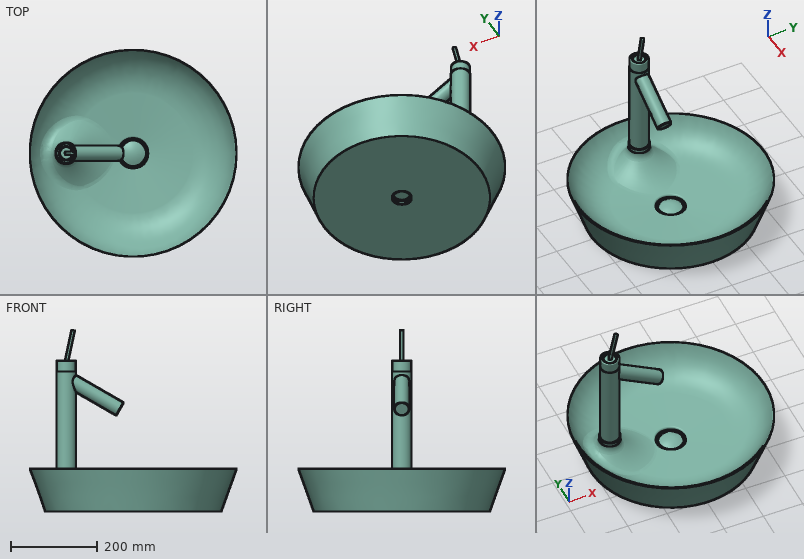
import cadquery as cq
import math

BOWL_HEIGHT = 100.0
RIM_RADIUS = 240.0
BASE_RADIUS = 204.5
RIM_WIDTH = 3.5
RIM_CROWN = 1.3
FLOOR_EDGE_RADIUS = 140.0
FLOOR_EDGE_Z = 32.3
FLOOR_SLOPE = 0.084

PAD_RADIUS = 25.0
PAD_TOP_Z = 85.0
PAD_NECK_RADIUS = 25.0
PAD_NECK_TURN = 50.0
PAD_FOOT = (130.0, 20.0)
PAD_BLEND_RADIUS = 20.0
PAD_BOTTOM_Z = 15.0

DRAIN_RADIUS = 35.0
DRAIN_LIP_RADIUS = 40.0
DRAIN_SEAT_Z = 10.0
DRAIN_TOP_Z = 18.0
DRAIN_EDGE_FILLET = 1.0
DRAIN_CUP_RADIUS = 31.0
DRAIN_CUP_Z = 14.0
TAIL_RADIUS = 23.0
TAIL_BORE_RADIUS = 21.0
STOPPER_RADIUS = 30.0
STOPPER_EDGE_Z = 17.5
STOPPER_TOP_Z = 25.5

FAUCET_X = -155.2
RING_RADIUS = 25.0
RING_HEIGHT = 11.0
RING_CHAMFER = 0.7
COLUMN_RADIUS = 23.0
COLUMN_TOP_Z = 325.0

SPOUT_RADIUS = 17.5
SPOUT_DROP = 30.0
SPOUT_AXIS_Z = 309.5
SPOUT_LENGTH = 144.0
SPOUT_TIP_CHAMFER = 1.0

CAP_RADIUS = 22.5
CAP_TOP_Z = 350.0
CAP_FILLET = 2.0
CAP_BORE_RADIUS = 15.15
CAP_BORE_DEPTH = 10.0
CAP_BORE_CHAMFER = 1.5

LEVER_DISC_RADIUS = 14.67
LEVER_DISC_RECESS = 1.5
LEVER_RADIUS = 4.17
LEVER_TILT = 12.0
LEVER_TOP_Z = 421.0
LEVER_TIP_FILLET = 0.6

WALL_TOP_Z = BOWL_HEIGHT - RIM_CROWN
RIM_INSIDE = (RIM_RADIUS - RIM_WIDTH, WALL_TOP_Z)
FLOOR_CENTRE_Z = FLOOR_EDGE_Z - FLOOR_SLOPE * FLOOR_EDGE_RADIUS
RING_TOP_Z = PAD_TOP_Z + RING_HEIGHT
CAP_BORE_Z = CAP_TOP_Z - CAP_BORE_DEPTH


def cylinder(radius, bottom_z, top_z, x=0.0):
    """Upright cylinder on an axis at the given X."""
    return cq.Workplane("XY", origin=(x, 0, bottom_z)).circle(radius).extrude(top_z - bottom_z)


def revolve(profile):
    """Full turn of an XZ profile about the vertical axis of its workplane."""
    return profile.close().revolve(360, (0, 0, 0), (0, 1, 0))


def make_basin():
    run = RIM_INSIDE[0] - FLOOR_EDGE_RADIUS
    rise = RIM_INSIDE[1] - FLOOR_EDGE_Z
    floor_angle = math.atan(FLOOR_SLOPE)
    half_turn = math.atan2(rise, run) - floor_angle
    wall_radius = math.hypot(run, rise) / (2 * math.sin(half_turn))
    middle_angle = floor_angle + half_turn
    wall_middle = (
        FLOOR_EDGE_RADIUS + wall_radius * (math.sin(middle_angle) - math.sin(floor_angle)),
        FLOOR_EDGE_Z + wall_radius * (math.cos(floor_angle) - math.cos(middle_angle)),
    )
    return revolve(
        cq.Workplane("XZ")
        .lineTo(BASE_RADIUS, 0)
        .lineTo(RIM_RADIUS, WALL_TOP_Z)
        .threePointArc((RIM_RADIUS - RIM_WIDTH / 2, BOWL_HEIGHT), RIM_INSIDE)
        .threePointArc(wall_middle, (FLOOR_EDGE_RADIUS, FLOOR_EDGE_Z))
        .lineTo(0, FLOOR_CENTRE_Z)
    )


def pad_neck_point(turn):
    """Point on the pad's neck arc after the given turn from vertical, in degrees."""
    angle = math.radians(turn)
    return (
        PAD_RADIUS + PAD_NECK_RADIUS * (1 - math.cos(angle)),
        PAD_TOP_Z - PAD_NECK_RADIUS * math.sin(angle),
    )


def make_pad():
    """Flared pad under the faucet, trimmed so that it stays inside the bowl's outer wall."""
    flare = revolve(
        cq.Workplane("XZ", origin=(FAUCET_X, 0, 0))
        .moveTo(0, PAD_BOTTOM_Z)
        .lineTo(0, PAD_TOP_Z)
        .lineTo(PAD_RADIUS, PAD_TOP_Z)
        .threePointArc(pad_neck_point(PAD_NECK_TURN / 2), pad_neck_point(PAD_NECK_TURN))
        .tangentArcPoint(PAD_FOOT, relative=False)
        .lineTo(PAD_FOOT[0], PAD_BOTTOM_Z)
    )
    bowl_envelope = revolve(
        cq.Workplane("XZ")
        .lineTo(BASE_RADIUS, 0)
        .lineTo(*RIM_INSIDE)
        .lineTo(0, WALL_TOP_Z)
    )
    return flare.intersect(bowl_envelope)


def blend_pad(bowl):
    """Round the free-form edge where the pad meets the basin."""
    foot_edges = [
        edge
        for edge in bowl.edges("%BSPLINE").vals()
        if abs(edge.Center().x - FAUCET_X) < PAD_FOOT[0] and edge.Center().z < PAD_TOP_Z
    ]
    return bowl.newObject(foot_edges).fillet(PAD_BLEND_RADIUS)


def make_drain_mouth():
    """Space above the drain seat; its lip rounds over from the floor into the hole."""
    lip_z = FLOOR_CENTRE_Z + FLOOR_SLOPE * DRAIN_LIP_RADIUS
    lip_round = DRAIN_LIP_RADIUS - DRAIN_RADIUS
    lip_bend = lip_round * (1 - math.sqrt(0.5))
    return revolve(
        cq.Workplane("XZ")
        .moveTo(0, DRAIN_SEAT_Z)
        .lineTo(DRAIN_RADIUS, DRAIN_SEAT_Z)
        .lineTo(DRAIN_RADIUS, lip_z - lip_round)
        .threePointArc((DRAIN_RADIUS + lip_bend, lip_z - lip_bend), (DRAIN_LIP_RADIUS, lip_z))
        .lineTo(DRAIN_LIP_RADIUS, BOWL_HEIGHT)
        .lineTo(0, BOWL_HEIGHT)
    )


def make_bowl():
    bowl = blend_pad(make_basin().union(make_pad()))
    return bowl.cut(make_drain_mouth()).cut(cylinder(TAIL_RADIUS, 0, DRAIN_SEAT_Z))


def make_drain():
    flange = cylinder(DRAIN_RADIUS, DRAIN_SEAT_Z, DRAIN_TOP_Z)
    flange = flange.faces(">Z").edges().fillet(DRAIN_EDGE_FILLET)
    drain = flange.union(cylinder(TAIL_RADIUS, 0, DRAIN_SEAT_Z))
    drain = drain.cut(cylinder(DRAIN_CUP_RADIUS, DRAIN_CUP_Z, DRAIN_TOP_Z))
    return drain.cut(cylinder(TAIL_BORE_RADIUS, 0, DRAIN_CUP_Z))


def make_stopper():
    dome_rise = STOPPER_TOP_Z - STOPPER_EDGE_Z
    dome_radius = (STOPPER_RADIUS**2 + dome_rise**2) / (2 * dome_rise)
    dome = cq.Workplane("XY", origin=(0, 0, STOPPER_TOP_Z - dome_radius)).sphere(dome_radius)
    return cylinder(STOPPER_RADIUS, DRAIN_CUP_Z, STOPPER_TOP_Z).intersect(dome)


def make_base_ring():
    ring = cylinder(RING_RADIUS, PAD_TOP_Z, RING_TOP_Z, FAUCET_X)
    return ring.faces(">Z").edges().chamfer(RING_CHAMFER)


def make_column():
    drop = math.radians(SPOUT_DROP)
    spout_plane = cq.Plane(
        origin=(FAUCET_X, 0, SPOUT_AXIS_Z),
        xDir=(0, 1, 0),
        normal=(math.cos(drop), 0, -math.sin(drop)),
    )
    spout = cq.Workplane(spout_plane).circle(SPOUT_RADIUS).extrude(SPOUT_LENGTH)
    spout = spout.faces(">X").edges().chamfer(SPOUT_TIP_CHAMFER)
    return cylinder(COLUMN_RADIUS, RING_TOP_Z, COLUMN_TOP_Z, FAUCET_X).union(spout)


def make_cap():
    cap = cylinder(CAP_RADIUS, COLUMN_TOP_Z, CAP_TOP_Z, FAUCET_X)
    cap = cap.faces(">Z").edges().fillet(CAP_FILLET)
    cap = cap.cut(cylinder(CAP_BORE_RADIUS, CAP_BORE_Z, CAP_TOP_Z, FAUCET_X))
    bore_edge = cap.faces(">Z").edges(cq.selectors.RadiusNthSelector(0))
    return bore_edge.chamfer(CAP_BORE_CHAMFER)


def make_lever():
    """A disc that sits in the cap's bore and carries a leaning rod."""
    disc_top_z = CAP_TOP_Z - LEVER_DISC_RECESS
    disc = cylinder(LEVER_DISC_RADIUS, CAP_BORE_Z, disc_top_z, FAUCET_X)

    tilt = math.radians(LEVER_TILT)
    rod_start_z = (CAP_BORE_Z + disc_top_z) / 2
    rod_length = (LEVER_TOP_Z - rod_start_z - LEVER_RADIUS * math.sin(tilt)) / math.cos(tilt)
    rod_plane = cq.Plane(
        origin=(FAUCET_X, 0, rod_start_z),
        xDir=(0, 1, 0),
        normal=(math.sin(tilt), 0, math.cos(tilt)),
    )
    rod = cq.Workplane(rod_plane).circle(LEVER_RADIUS).extrude(rod_length)
    rod = rod.faces(">Z").edges().fillet(LEVER_TIP_FILLET)
    return disc.union(rod)


bowl = make_bowl()
drain = make_drain()
stopper = make_stopper()
base_ring = make_base_ring()
column = make_column()
cap = make_cap()
lever = make_lever()

result = cq.Compound.makeCompound(
    [
        bowl.val(),
        drain.val(),
        stopper.val(),
        base_ring.val(),
        column.val(),
        cap.val(),
        lever.val(),
    ]
)